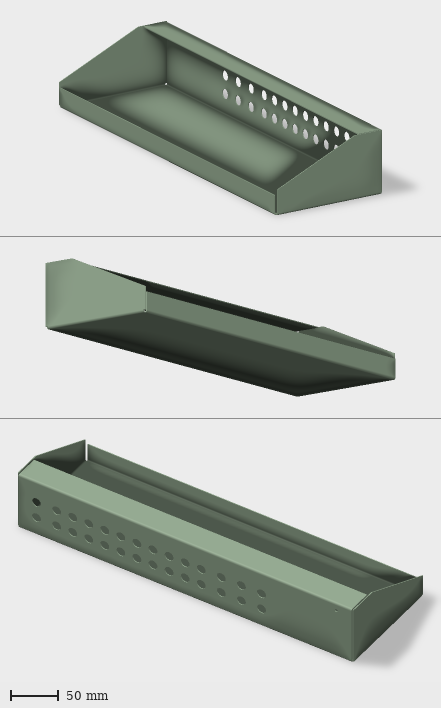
import cadquery as cq

length = 420.0
depth = 134.0
height = 71.0
sheet = 1.0
bend_radius = 2.5

side_front_height = 27.7
side_top_depth = 35.5

front_lip_height = 22.3
flange_depth = 30.0

main_hole_diameter = 11.0
pilot_hole_diameter = 4.0
pilot_x = -188.5
pilot_z = 61.5
upper_row_z = 43.3
row_spacing = 20.0
first_hole_x = -95.5
wide_pitch_count = 3
wide_pitch = 75.0 / wide_pitch_count
close_pitch_count = 9
close_pitch = 180.0 / close_pitch_count

half_length = length / 2
half_depth = depth / 2
wall_half_length = half_length - bend_radius
wall_half_depth = half_depth - bend_radius
inner_radius = bend_radius - sheet
hole_cut_depth = 3 * sheet


def box_between(x_half, y_half, z_min, z_max):
    """Box centred on the Z axis, between two heights."""
    return (
        cq.Workplane("XY")
        .box(2 * x_half, 2 * y_half, z_max - z_min, centered=(True, True, False))
        .translate((0, 0, z_min))
    )


def make_lengthwise_channel():
    """Floor, front lip, rear wall and top flange, folded along X."""
    outer = box_between(wall_half_length, half_depth, 0, height)
    outer = outer.edges("|X and (<Z or >Y)").fillet(bend_radius)
    inner = box_between(half_length, half_depth - sheet, sheet, height - sheet)
    inner = inner.edges("|X and (<Z or >Y)").fillet(inner_radius)
    opening_depth = depth - flange_depth
    above_lip = (
        cq.Workplane("XY")
        .box(length, opening_depth, height, centered=(True, False, False))
        .translate((0, -half_depth, front_lip_height))
    )
    return outer.cut(inner).cut(above_lip)


def make_crosswise_channel():
    """Floor and side walls, folded along Y, with their upper edges still level."""
    outer = box_between(half_length, wall_half_depth, 0, height)
    outer = outer.edges("|Y and <Z").fillet(bend_radius)
    inner = box_between(half_length - sheet, half_depth, sheet, height + sheet)
    inner = inner.edges("|Y and <Z").fillet(inner_radius)
    return outer.cut(inner)


def make_left_wall():
    """Left side wall above its fold, which covers the full depth of the tray."""
    return (
        cq.Workplane("XY")
        .box(sheet, depth, height - bend_radius, centered=(False, True, False))
        .translate((-half_length, 0, bend_radius))
    )


def make_side_profile():
    """Side outline of the tray, level at the rear and sloping down to the front."""
    return (
        cq.Workplane("YZ")
        .polyline([
            (-half_depth, 0),
            (half_depth, 0),
            (half_depth, height),
            (half_depth - side_top_depth, height),
            (-half_depth, side_front_height),
        ])
        .close()
        .extrude(half_length, both=True)
    )


def main_hole_positions():
    """X positions: wide, then close, then one wide pitch."""
    pitches = [wide_pitch] * wide_pitch_count + [close_pitch] * close_pitch_count + [wide_pitch]
    positions = [first_hole_x]
    for pitch in pitches:
        positions.append(positions[-1] + pitch)
    return positions


def rear_wall_holes(points, diameter):
    """Cutters through the rear wall at the given (X, Z) points."""
    return (
        cq.Workplane("XZ", origin=(0, half_depth + sheet, 0))
        .pushPoints(points)
        .circle(diameter / 2)
        .extrude(hole_cut_depth)
    )


main_points = [
    (x, z)
    for x in main_hole_positions()
    for z in (upper_row_z, upper_row_z - row_spacing)
]

side_walls = make_crosswise_channel().union(make_left_wall()).intersect(make_side_profile())
result = make_lengthwise_channel().union(side_walls)
result = result.cut(rear_wall_holes(main_points, main_hole_diameter))
result = result.cut(rear_wall_holes([(pilot_x, pilot_z)], pilot_hole_diameter))